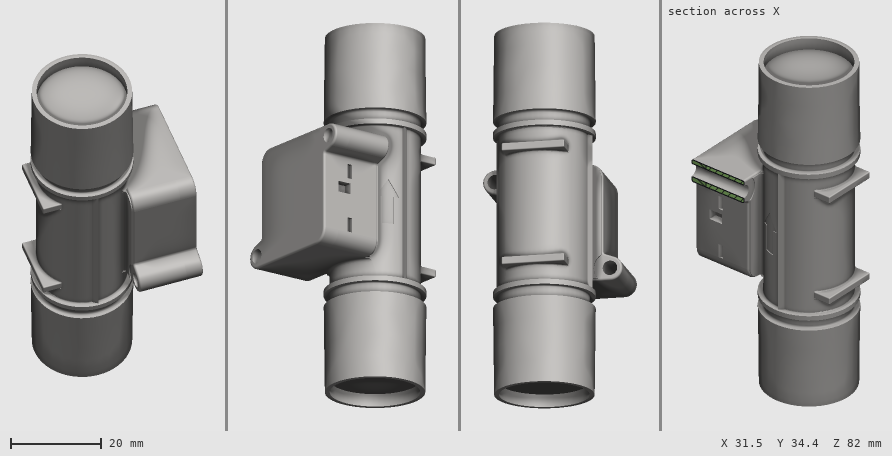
import cadquery as cq
import math

tube_length = 82.0
tube_radius = 10.1
cuff_inner_z = 21.3
cuff_root_radius = 11.3
cuff_tip_radius = 11.1
cuff_root_fillet = 0.5
socket_depth = 2.9
socket_radius = 10.0
collar_radius = 11.3
collar_inner_z = 17.6
collar_outer_z = 18.8
root_fillet = 0.25

rib_tip_x = 10.8
rib_width = 1.2

bar_half_width = 7.05
bar_front_y = -11.6
bar_inner_z = 12.1
bar_outer_z = 13.85
bar_edge_fillet = 0.25

arrow_center_y = 3.5
arrow_tip_z = 5.25
arrow_head_z = 1.2
arrow_tail_z = -5.0
arrow_head_half_width = 2.55
arrow_shaft_half_width = 1.3
arrow_depth = 0.2

box_half_width = 11.5
box_half_height = 13.4
box_corner_radius = 3.2
base_rear_y = 7.9
pad_rear_y = 7.6
pad_inset = 0.4
lid_rear_y = 18.9
lid_front_y = 22.8
housing_edge_fillet = 0.5
tube_blend_radius = 0.6

lug_hole_x = 13.0
lug_radius = 2.75
lug_hole_radius = 1.6
lug_slope = math.radians(20)
lug_relief_radius = 3.6
lug_neck_fillet = 0.6

notch_width = 2.5
notch_end_y = 15.4
notch_depth = 2.05
window_centers_z = (4.0, -8.4)
window_height = 3.3
window_deep_y = 15.1
window_shallow_y = 16.3
window_depth = 1.0

tube_end_z = tube_length / 2
pad_half_width = box_half_width - pad_inset
pad_half_height = box_half_height - pad_inset
lug_hole_z = box_half_height - lug_radius
lug_centers = [(-lug_hole_x, lug_hole_z), (lug_hole_x, -lug_hole_z)]


def prism_along_y(outline, rear_y, front_y):
    """Extrude a closed XZ outline from rear_y to front_y."""
    return outline.extrude(-(front_y - rear_y)).translate((0, rear_y, 0))


def block(x_range, y_range, z_range):
    """Box between pairs of coordinates."""
    spans = [high - low for low, high in (x_range, y_range, z_range)]
    corner = (x_range[0], y_range[0], z_range[0])
    return cq.Workplane("XY").box(*spans, centered=False).translate(corner)


def root_ring(shoulder_z, direction, radius):
    """Concave fillet ring around the tube, against a shoulder at shoulder_z.

    direction is +1 when the ring spreads up from the shoulder, -1 when down.
    """
    sag = radius * (1 - math.sqrt(0.5))
    inside = tube_radius - radius
    far_z = shoulder_z + direction * radius
    return (
        cq.Workplane("XZ")
        .moveTo(inside, shoulder_z)
        .lineTo(tube_radius + radius, shoulder_z)
        .threePointArc(
            (tube_radius + sag, shoulder_z + direction * sag),
            (tube_radius, far_z),
        )
        .lineTo(inside, far_z)
        .close()
        .revolve(360, (0, 0, 0), (0, 1, 0))
    )


def tube_core():
    """Tube with a tapered cuff, a collar and a blind socket at each end."""
    floor_z = tube_end_z - socket_depth
    upper_profile = [
        (tube_radius, collar_inner_z),
        (collar_radius, collar_inner_z),
        (collar_radius, collar_outer_z),
        (tube_radius, collar_outer_z),
        (tube_radius, cuff_inner_z),
        (cuff_root_radius, cuff_inner_z),
        (cuff_tip_radius, tube_end_z),
        (socket_radius, tube_end_z),
        (socket_radius, floor_z),
        (0, floor_z),
    ]
    lower_profile = [(radius, -z) for radius, z in reversed(upper_profile)]
    core = (
        cq.Workplane("XZ")
        .polyline(lower_profile + upper_profile)
        .close()
        .revolve(360, (0, 0, 0), (0, 1, 0))
    )
    for end in (1, -1):
        core = core.union(root_ring(end * collar_inner_z, -end, root_fillet))
        core = core.union(root_ring(end * collar_outer_z, end, root_fillet))
        core = core.union(root_ring(end * cuff_inner_z, -end, cuff_root_fillet))
    return core


def side_rib(side):
    """Wedge rib between the collars, flat on its +Y face."""
    inside_x = tube_radius - rib_width
    root_x = math.sqrt(tube_radius**2 - rib_width**2)
    return (
        cq.Workplane("XY")
        .workplane(offset=-collar_inner_z)
        .polyline([
            (side * inside_x, 0),
            (side * rib_tip_x, 0),
            (side * root_x, -rib_width),
            (side * inside_x, -rib_width),
        ])
        .close()
        .extrude(2 * collar_inner_z)
    )


def clip_bar(end):
    """Bar across the -Y side, filleted to the tube."""
    x_range = (-bar_half_width, bar_half_width)
    z_range = sorted((end * bar_inner_z, end * bar_outer_z))
    bar = block(x_range, (bar_front_y, 0), z_range)
    bar = bar.edges("|Y or <Y").fillet(bar_edge_fillet)
    blend = root_ring(end * bar_inner_z, -end, root_fillet)
    blend = blend.union(root_ring(end * bar_outer_z, end, root_fillet))
    reach = (-tube_end_z, tube_end_z)
    return bar.union(blend.intersect(block(x_range, (bar_front_y, 0), reach)))


def flow_arrow():
    """Thin curved arrow just under the tube surface, pointing up."""
    half_outline = [
        (0, arrow_tip_z),
        (arrow_head_half_width, arrow_head_z),
        (arrow_shaft_half_width, arrow_head_z),
        (arrow_shaft_half_width, arrow_tail_z),
    ]
    other_half = [(-y, z) for y, z in reversed(half_outline[1:])]
    prism = (
        cq.Workplane("YZ")
        .center(arrow_center_y, 0)
        .polyline(half_outline + other_half)
        .close()
        .extrude(-collar_radius)
    )
    floor = cq.Workplane("XY").circle(tube_radius - arrow_depth).extrude(tube_length)
    return prism.cut(floor.translate((0, 0, -tube_end_z)))


def rotated(point):
    """The same outline point after half a turn about Y."""
    return (-point[0], -point[1])


def housing_outline():
    """XZ outline of the box with its two lugs, and the corner at a lug neck."""
    inset = box_corner_radius * (1 - math.sqrt(0.5))
    tangent = (
        -lug_hole_x - lug_radius * math.sin(lug_slope),
        lug_hole_z - lug_radius * math.cos(lug_slope),
    )
    neck_drop = (-box_half_width - tangent[0]) * math.tan(lug_slope)
    neck = (-box_half_width, tangent[1] - neck_drop)
    corner_start = (-box_half_width, -box_half_height + box_corner_radius)
    corner_middle = (-box_half_width + inset, -box_half_height + inset)
    corner_end = (-box_half_width + box_corner_radius, -box_half_height)
    lug_top = (-lug_hole_x, box_half_height)
    lug_side = (-lug_hole_x - lug_radius, lug_hole_z)
    return (
        cq.Workplane("XZ")
        .moveTo(*lug_top)
        .threePointArc(lug_side, tangent)
        .lineTo(*neck)
        .lineTo(*corner_start)
        .threePointArc(corner_middle, corner_end)
        .lineTo(*rotated(lug_top))
        .threePointArc(rotated(lug_side), rotated(tangent))
        .lineTo(*rotated(neck))
        .lineTo(*rotated(corner_start))
        .threePointArc(rotated(corner_middle), rotated(corner_end))
        .close()
    ), neck


def housing_prism(rear_y, front_y):
    """Housing outline extruded along Y, with the lug necks rounded."""
    outline, neck = housing_outline()
    prism = prism_along_y(outline, rear_y, front_y)
    middle_y = (rear_y + front_y) / 2
    for x, z in (neck, rotated(neck)):
        edge = cq.selectors.NearestToPointSelector((x, middle_y, z))
        prism = prism.edges("|Y").edges(edge).fillet(lug_neck_fillet)
    return prism


def lug_cylinders(radius):
    """Cylinders along Y through both lug centres."""
    circles = cq.Workplane("XZ").pushPoints(lug_centers).circle(radius)
    return prism_along_y(circles, 0, lid_front_y)


def rear_pad():
    """Raised pad on the rear of the base, relieved around the lugs."""
    outline = cq.Workplane("XZ").rect(2 * pad_half_width, 2 * pad_half_height)
    pad = prism_along_y(outline, pad_rear_y, base_rear_y)
    for side in (-1, 1):
        corner = (side * pad_half_width, pad_rear_y, side * pad_half_height)
        edge = cq.selectors.NearestToPointSelector(corner)
        pad = pad.edges("|Y").edges(edge).fillet(box_corner_radius - pad_inset)
    return pad.cut(lug_cylinders(lug_relief_radius))


def latch_notch():
    """Notch for the lid catch, open to the parting plane."""
    x_range = (-box_half_width, -box_half_width + notch_depth)
    z_range = (-notch_width / 2, notch_width / 2)
    return block(x_range, (notch_end_y, lid_rear_y), z_range)


def latch_window(center_z):
    """Wedge pocket in the -X wall, deepest at its -Y end."""
    return (
        cq.Workplane("XY")
        .workplane(offset=center_z - window_height / 2)
        .polyline([
            (-box_half_width, window_deep_y),
            (-box_half_width + window_depth, window_deep_y),
            (-box_half_width, window_shallow_y),
        ])
        .close()
        .extrude(window_height)
    )


def tube_blend():
    """Concave blend from the sides and ends of the base onto the tube."""
    center_y = pad_rear_y - tube_blend_radius
    reach = tube_radius + tube_blend_radius
    center_x = math.sqrt(reach**2 - center_y**2)
    tube_point = (center_x * tube_radius / reach, center_y * tube_radius / reach)
    skirt = (
        cq.Workplane("XY")
        .workplane(offset=-pad_half_height)
        .polyline([
            (-center_x, base_rear_y),
            (-center_x, pad_rear_y),
            (-tube_point[0], tube_point[1]),
            (tube_point[0], tube_point[1]),
            (center_x, pad_rear_y),
            (center_x, base_rear_y),
        ])
        .close()
        .extrude(2 * pad_half_height)
    )
    for side in (-1, 1):
        hollow = cq.Workplane("XY").center(side * center_x, center_y).circle(tube_blend_radius)
        skirt = skirt.cut(hollow.extrude(tube_length).translate((0, 0, -tube_end_z)))
    rings = root_ring(box_half_height, 1, tube_blend_radius)
    rings = rings.union(root_ring(-box_half_height, -1, tube_blend_radius))
    above_base_rear = block(
        (-tube_point[0], tube_point[0]),
        (tube_point[1], tube_end_z),
        (-tube_end_z, tube_end_z),
    )
    return skirt.union(rings.intersect(above_base_rear))


def make_tube_housing():
    """Flow tube and housing base, moulded in one piece."""
    body = housing_prism(base_rear_y, lid_rear_y)
    body = body.faces("<Y").edges().fillet(housing_edge_fillet)
    body = body.union(rear_pad()).cut(lug_cylinders(lug_hole_radius))
    body = body.cut(latch_notch())
    for center_z in window_centers_z:
        body = body.cut(latch_window(center_z))
    body = body.union(tube_blend()).union(tube_core())
    for side in (-1, 1):
        body = body.union(side_rib(side)).union(clip_bar(side))
    return body.cut(flow_arrow())


def make_lid():
    """Flat lid with the full housing outline and rounded front edges."""
    lid = housing_prism(lid_rear_y, lid_front_y)
    lid = lid.faces(">Y").edges().fillet(housing_edge_fillet)
    return lid.cut(lug_cylinders(lug_hole_radius))


tube_housing = make_tube_housing()
lid = make_lid()
result = cq.Compound.makeCompound([tube_housing.val(), lid.val()])